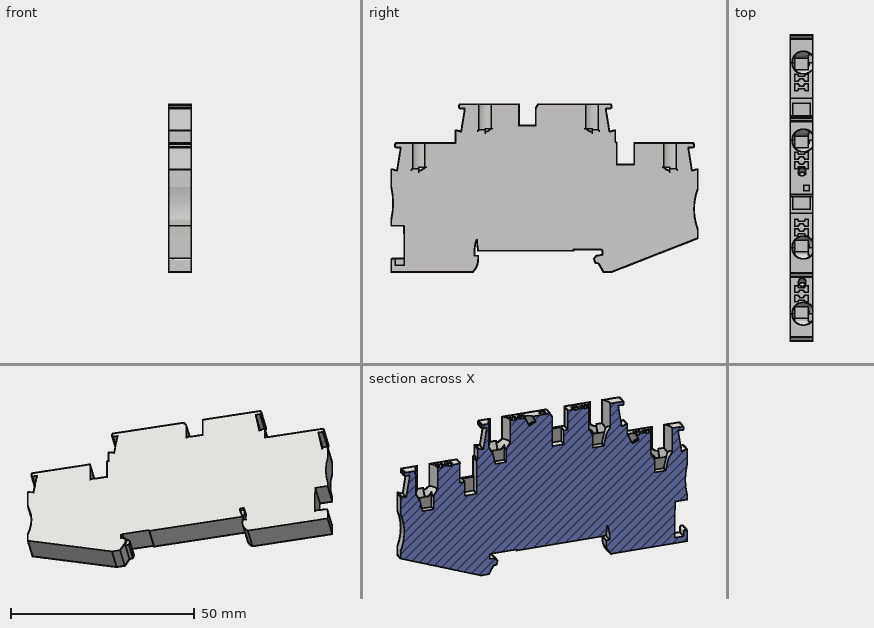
import cadquery as cq
import math

LENGTH = 83.65
WIDTH = 6.2
HEIGHT = 45.8
Y_END = LENGTH / 2
X_FACE = WIDTH / 2

DECK_Z = 35.2
TOWER_Y_BACK = 19.3
TOWER_Y_FRONT = -24.35
TOWER_TOE_RISE = 0.3

SLOT_DEPTH = 5.85
DECK_SLOT_Y = (19.7, 24.4)
TOWER_SLOT_Y = (-6.95, -2.4)
TOWER_CHAMFER_Y = 0.7
TOWER_CHAMFER_Z = 1.2

BACK_SCOOP_Z = (11.7, 22.7)
BACK_SCOOP_DEPTH = 1.0
FRONT_SCOOP_Z = (14.3, 23.25)
FRONT_SCOOP_DEPTH = 0.5

NOTCH_Y = -38.3
NOTCH_Z = (3.8, 12.6)
NOTCH_SLANT_Z = 10.2
NOTCH_SLANT = 0.1
NOTCH_LIP_RADIUS = 0.6
LIP_ARC_INSET = NOTCH_LIP_RADIUS * (1 - math.sqrt(0.5))
GUTTER_FLOOR_Z = 1.8
GUTTER_SKIN = 1.1

RAMP_FOOT_Y = 18.3
RAMP_TOP_Z = 9.2

SEAT_Z = 5.8
BACK_SEAT_Z = 6.1
BACK_SEAT_Y = 7.95
FRONT_FOOT_START = (-19.6, 0)
FRONT_FOOT_MIDDLE = (-18.5, 1.5)
FRONT_FOOT_END = (-18.1, 3.5)

SKIN = 0.8

BORE_X = 0.5
BORE_RADIUS = 3.1
BORE_DEPTH = 6.7
FUNNEL_DEPTH = 2.5
FUNNEL_END_RADIUS = 1.7
SHAFT_DEPTH = 3.35
SHAFT_WIDTH = 3.7
SHAFT_HALF_LENGTH = 1.9
SHAFT_SLOPE = 0.75
MARK_OFFSET = 5.4
MARK_LENGTH = 4.4
MARK_WIDTH = 3.8
MARK_GAP = 0.75
MARK_DEPTH = 0.25
MARK_NOTCH_DEEP = 0.7
MARK_NOTCH_SHALLOW = 0.5

WIRE_ENTRIES = [
    (34.2, DECK_Z, 1),
    (13.0, HEIGHT, 1),
    (-16.2, HEIGHT, -1),
    (-34.3, DECK_Z, -1),
]

TEST_HOLES = [(4.4, HEIGHT), (-25.7, DECK_Z)]
TEST_HOLE_X = 0.2
TEST_HOLE_RADIUS = 1.0
TEST_HOLE_DEPTH = 2.5
TEST_HOLE_TILT = 25.0

KEY_X = 1.3
KEY_Y = 0.0
KEY_SIZE = 1.5
KEY_DEPTH = 1.7

BRIDGE_POCKET_WIDTH = 4.85
BRIDGE_POCKET_LENGTH = 3.35
BRIDGE_POCKET_DEPTH = 4.2


def block_below(x, y, top_z, size_x, size_y, depth):
    """Rectangular block centred on (x, y), reaching down from top_z."""
    return cq.Workplane("XY").box(size_x, size_y, depth).translate((x, y, top_z - depth / 2))


def shoulder(edge_y, top_z, side):
    """End shoulder from its lower step up to the top: step, undercut neck and lip."""
    inset_and_drop = [
        (0.0, 7.3),
        (0.25, 7.1),
        (1.6, 7.5),
        (2.6, 1.25),
        (1.3, 1.25),
        (1.0, 1.0),
        (1.0, 0.4),
        (1.25, 0.0),
    ]
    return [(edge_y - side * inset, top_z - drop) for inset, drop in inset_and_drop]


def slot(y_range, top_z):
    """Open-topped rectangular slot, traced from its +Y edge to its -Y edge."""
    y_low, y_high = y_range
    floor_z = top_z - SLOT_DEPTH
    return [(y_high, top_z), (y_high, floor_z), (y_low, floor_z), (y_low, top_z)]


def body():
    """Plate with the full side outline, from the ramp over the decks to the rail feet."""
    back_scoop_mid = sum(BACK_SCOOP_Z) / 2
    front_scoop_mid = sum(FRONT_SCOOP_Z) / 2
    tower_slot = slot(TOWER_SLOT_Y, HEIGHT)
    chamfer = [
        (TOWER_SLOT_Y[1] + TOWER_CHAMFER_Y, HEIGHT),
        (TOWER_SLOT_Y[1], HEIGHT - TOWER_CHAMFER_Z),
    ]
    top_line = (
        shoulder(Y_END, DECK_Z, 1)
        + slot(DECK_SLOT_Y, DECK_Z)
        + [(TOWER_Y_BACK, DECK_Z + TOWER_TOE_RISE)]
        + shoulder(TOWER_Y_BACK, HEIGHT, 1)
        + chamfer
        + tower_slot[1:]
        + shoulder(TOWER_Y_FRONT, HEIGHT, -1)[::-1]
        + [(TOWER_Y_FRONT, DECK_Z)]
        + shoulder(-Y_END, DECK_Z, -1)[::-1]
    )
    notch = [
        (-Y_END, NOTCH_Z[1]),
        (NOTCH_Y - NOTCH_SLANT, NOTCH_Z[1]),
        (NOTCH_Y, NOTCH_SLANT_Z),
        (NOTCH_Y, NOTCH_Z[0]),
        (-Y_END + NOTCH_LIP_RADIUS, NOTCH_Z[0]),
    ]
    front_slit = [
        (-18.1, 4.5),
        (-19.1, 4.5),
        (-19.1, 6.2),
        (-18.8, 7.8),
        (-18.5, 8.9),
        (-18.3, 6.95),
        (-18.15, SEAT_Z),
    ]
    back_foot = [
        (BACK_SEAT_Y, SEAT_Z),
        (BACK_SEAT_Y, BACK_SEAT_Z),
        (15.4, BACK_SEAT_Z),
        (15.8, 5.85),
        (15.8, 4.8),
        (14.9, 4.5),
        (14.5, 4.0),
        (14.7, 2.35),
        (16.1, 0),
    ]
    outline = (
        cq.Workplane("YZ", origin=(-X_FACE, 0, 0))
        .moveTo(RAMP_FOOT_Y, 0)
        .lineTo(Y_END, RAMP_TOP_Z)
        .lineTo(Y_END, BACK_SCOOP_Z[0])
        .threePointArc((Y_END - BACK_SCOOP_DEPTH, back_scoop_mid), (Y_END, BACK_SCOOP_Z[1]))
    )
    for point in top_line:
        outline = outline.lineTo(*point)
    outline = outline.lineTo(-Y_END, FRONT_SCOOP_Z[1]).threePointArc(
        (-Y_END + FRONT_SCOOP_DEPTH, front_scoop_mid), (-Y_END, FRONT_SCOOP_Z[0])
    )
    for point in notch:
        outline = outline.lineTo(*point)
    outline = (
        outline.threePointArc(
            (-Y_END + LIP_ARC_INSET, NOTCH_Z[0] - LIP_ARC_INSET),
            (-Y_END, NOTCH_Z[0] - NOTCH_LIP_RADIUS),
        )
        .lineTo(-Y_END, 0)
        .lineTo(*FRONT_FOOT_START)
        .threePointArc(FRONT_FOOT_MIDDLE, FRONT_FOOT_END)
    )
    for point in front_slit + back_foot:
        outline = outline.lineTo(*point)
    return outline.close().extrude(WIDTH)


def rail_catch():
    """Nose of the back foot, set back from the -X face."""
    nose = [(15.6, 4.7), (14.2, 4.5), (13.5, 3.7), (13.8, 2.5), (14.7, 2.35), (15.6, 2.35)]
    plane = cq.Workplane("YZ", origin=(-X_FACE + SKIN, 0, 0))
    return plane.polyline(nose).close().extrude(WIDTH - SKIN)


def slit_relief():
    """Shallow relief beside the front slit, in the -X face only."""
    relief = [(-18.15, SEAT_Z), (-17.3, 8.7), (-17.65, 9.1), (-18.4, 9.1), (-18.5, 8.9), (-18.5, 6.95)]
    plane = cq.Workplane("YZ", origin=(-X_FACE, 0, 0))
    return plane.polyline(relief).close().extrude(SKIN)


def gutter():
    """Groove behind the notch lip, open to +X and leaving a skin at -X; it rounds the lip over."""
    lip_inner_y = -Y_END + 2 * NOTCH_LIP_RADIUS
    plane = cq.Workplane("YZ", origin=(-X_FACE + GUTTER_SKIN, 0, 0))
    section = (
        plane.moveTo(-Y_END + NOTCH_LIP_RADIUS, NOTCH_Z[0])
        .threePointArc(
            (lip_inner_y - LIP_ARC_INSET, NOTCH_Z[0] - LIP_ARC_INSET),
            (lip_inner_y, NOTCH_Z[0] - NOTCH_LIP_RADIUS),
        )
        .lineTo(lip_inner_y, GUTTER_FLOOR_Z)
        .lineTo(NOTCH_Y, GUTTER_FLOOR_Z)
        .lineTo(NOTCH_Y, NOTCH_Z[0])
    )
    return section.close().extrude(WIDTH - GUTTER_SKIN)


def wire_entry(y, top_z, side):
    """Round bore, then a funnel narrowing to a rectangular shaft.

    The funnel is conical on its inner half and has flat sloping walls on its outer half.
    """
    funnel_z = top_z - BORE_DEPTH
    shaft_z = funnel_z - FUNNEL_DEPTH
    floor_z = shaft_z - SHAFT_DEPTH
    funnel_run = BORE_RADIUS - FUNNEL_END_RADIUS

    bore_plane = cq.Workplane("XY", origin=(BORE_X, y, shaft_z))
    cylinder = bore_plane.circle(BORE_RADIUS).extrude(BORE_DEPTH + FUNNEL_DEPTH)
    bore = cylinder.intersect(block_below(BORE_X, y, top_z, LENGTH, LENGTH, BORE_DEPTH))
    cone = cq.Workplane(
        cq.Solid.makeCone(
            FUNNEL_END_RADIUS,
            BORE_RADIUS,
            FUNNEL_DEPTH,
            cq.Vector(BORE_X, y, shaft_z),
            cq.Vector(0, 0, 1),
        )
    )
    pyramid = (
        cq.Workplane("XY", origin=(0, y, shaft_z))
        .rect(SHAFT_WIDTH, 2 * SHAFT_HALF_LENGTH)
        .workplane(offset=FUNNEL_DEPTH)
        .rect(SHAFT_WIDTH + 2 * funnel_run, 2 * (SHAFT_HALF_LENGTH + funnel_run))
        .loft(ruled=True)
    )
    outer_half = block_below(BORE_X, y + side * BORE_RADIUS, funnel_z, LENGTH, 2 * BORE_RADIUS, FUNNEL_DEPTH)
    flat_walls = pyramid.intersect(outer_half).intersect(cylinder)

    section = [
        (y - side * SHAFT_HALF_LENGTH, funnel_z),
        (y + side * SHAFT_HALF_LENGTH, funnel_z),
        (y + side * SHAFT_HALF_LENGTH, shaft_z),
        (y + side * (SHAFT_HALF_LENGTH - SHAFT_SLOPE), floor_z),
        (y - side * SHAFT_HALF_LENGTH, floor_z),
    ]
    shaft_plane = cq.Workplane("YZ", origin=(-SHAFT_WIDTH / 2, 0, 0))
    shaft = shaft_plane.polyline(section).close().extrude(SHAFT_WIDTH)
    return bore.union(cone.cut(outer_half)).union(flat_walls).union(shaft)


def contact_mark(y, top_z):
    """Two mirrored shallow recesses, notched on both long edges, around a hexagonal island."""
    half_width = MARK_WIDTH / 2
    inner = MARK_GAP / 2
    outer = MARK_LENGTH / 2
    right_half = [
        (0.4, inner + MARK_NOTCH_DEEP),
        (0.9, inner),
        (half_width, inner),
        (half_width, outer),
        (1.1, outer),
        (0.75, outer - MARK_NOTCH_SHALLOW),
    ]
    left_half = [(-x, v) for x, v in reversed(right_half)]
    plane = cq.Workplane("XY", origin=(0, y, top_z - MARK_DEPTH))
    recess = plane.polyline(right_half + left_half).close().extrude(MARK_DEPTH)
    return recess.union(recess.mirror("XZ", (0, y, 0)))


def test_hole(y, top_z):
    """Round hole leaning towards -Y as it goes down."""
    tilt = math.radians(TEST_HOLE_TILT)
    down = cq.Vector(0, -math.sin(tilt), -math.cos(tilt))
    mouth = cq.Vector(TEST_HOLE_X, y, top_z)
    overshoot = TEST_HOLE_RADIUS * math.tan(tilt)
    start = mouth - down * overshoot
    return cq.Solid.makeCylinder(TEST_HOLE_RADIUS, TEST_HOLE_DEPTH + overshoot, start, down)


result = body().union(rail_catch()).cut(slit_relief()).cut(gutter())

for entry_y, deck_z, end_side in WIRE_ENTRIES:
    result = result.cut(wire_entry(entry_y, deck_z, end_side))
    result = result.cut(contact_mark(entry_y - end_side * MARK_OFFSET, deck_z))

for hole_y, deck_z in TEST_HOLES:
    result = result.cut(test_hole(hole_y, deck_z))

result = result.cut(block_below(KEY_X, KEY_Y, HEIGHT, KEY_SIZE, KEY_SIZE, KEY_DEPTH))

deck_pocket_y = DECK_SLOT_Y[0] + BRIDGE_POCKET_LENGTH / 2
tower_pocket_y = TOWER_SLOT_Y[1] - BRIDGE_POCKET_LENGTH / 2
for pocket_y, deck_z in [(deck_pocket_y, DECK_Z), (tower_pocket_y, HEIGHT)]:
    floor_z = deck_z - SLOT_DEPTH
    bridge_pocket = block_below(
        0, pocket_y, floor_z, BRIDGE_POCKET_WIDTH, BRIDGE_POCKET_LENGTH, BRIDGE_POCKET_DEPTH
    )
    result = result.cut(bridge_pocket)